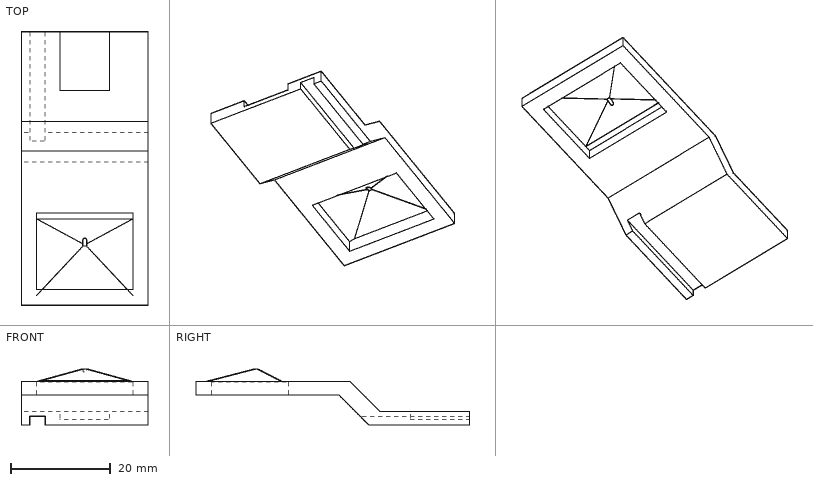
import cadquery as cq

length = 55.0
width = 25.4
total_height = 11.3
thickness = 2.75
step = 6.0
tail_length = 18.05
bend_setback = 2.2

pocket_width = 10.0
pocket_length = 11.9
pocket_depth = 1.65

channel_edge = 1.7
channel_width = 3.0
channel_height = 1.75

side_margin = 3.0
front_margin = 2.0
pyramid_length = 15.4
tip_width = 1.0
tip_length = 0.65
tip_front = 11.75

skin = 0.1
cavity_shift = 1.2
vent_width = 0.7
vent_front = 11.95
vent_length = 1.55

deck_top = step + thickness
pyramid_height = total_height - deck_top
pyramid_width = width - 2 * side_margin
pyramid_middle = front_margin + pyramid_length / 2
tip_middle = tip_front + tip_length / 2


def box(size_x, size_y, size_z, x_middle, y_start, z_start):
    """Box centred on x_middle that starts at y_start and z_start."""
    block = cq.Workplane("XY").box(size_x, size_y, size_z, centered=(True, False, False))
    return block.translate((x_middle, y_start, z_start))


def cranked_plate():
    ramp_back = length - tail_length
    ramp_front = ramp_back - step
    profile = [
        (0, step),
        (ramp_front - bend_setback, step),
        (ramp_back - bend_setback, 0),
        (length, 0),
        (length, thickness),
        (ramp_back, thickness),
        (ramp_front, deck_top),
        (0, deck_top),
    ]
    return cq.Workplane("YZ").polyline(profile).close().extrude(width / 2, both=True)


def pyramid(base_z):
    """Four-sided pyramid with its small flat tip set off towards the tail."""
    return (
        cq.Workplane("XY", origin=(0, 0, base_z))
        .center(0, pyramid_middle)
        .rect(pyramid_width, pyramid_length)
        .workplane(offset=pyramid_height)
        .center(0, tip_middle - pyramid_middle)
        .rect(tip_width, tip_length)
        .loft(ruled=True, combine=True)
    )


def cavity():
    """Space open at the underside, shifted towards the tail, one skin below the outer surface."""
    start = front_margin + cavity_shift
    end = front_margin + pyramid_length + cavity_shift
    well = box(pyramid_width, end - start, thickness - skin, 0, start, step)
    column = box(pyramid_width, end - start, total_height - step, 0, start, step)
    return well.union(pyramid(deck_top - skin).intersect(column))


def vent():
    """Upright opening at the tip, straight at the front and round at the back."""
    radius = vent_width / 2
    round_start = vent_front + vent_length - radius
    return (
        cq.Workplane("XY", origin=(0, 0, deck_top))
        .moveTo(-radius, vent_front)
        .lineTo(radius, vent_front)
        .lineTo(radius, round_start)
        .threePointArc((0, round_start + radius), (-radius, round_start))
        .close()
        .extrude(pyramid_height)
    )


pocket = box(pocket_width, pocket_length, pocket_depth, 0, length - pocket_length, thickness - pocket_depth)
channel_middle = -width / 2 + channel_edge + channel_width / 2
channel = box(channel_width, length, channel_height, channel_middle, 0, 0)

result = cranked_plate().union(pyramid(deck_top)).cut(cavity()).cut(vent()).cut(pocket).cut(channel)